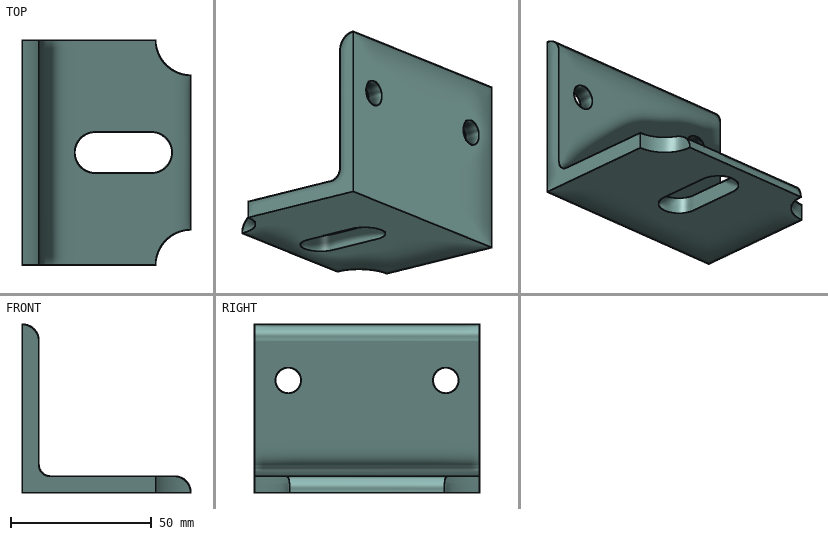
import cadquery as cq

leg = 60.0
thickness = 6.0
length = 80.0
toe_radius = thickness
root_radius = 4.0

hole_diameter = 9.0
hole_spacing = 56.0
hole_height = 40.0

slot_length = 34.5
slot_width = 14.5
slot_center_x = 36.0

notch_radius = 12.5


def angle_bar():
    """L-shaped bar with rounded toes, centred on Y."""
    profile = (
        cq.Workplane("XZ")
        .lineTo(leg, 0)
        .radiusArc((leg - toe_radius, thickness), -toe_radius)
        .lineTo(thickness, thickness)
        .lineTo(thickness, leg - toe_radius)
        .radiusArc((0, leg), -toe_radius)
        .close()
    )
    bar = profile.extrude(length / 2, both=True)
    root_edge = cq.selectors.NearestToPointSelector((thickness, 0, thickness))
    return bar.edges(root_edge).fillet(root_radius)


def upright_holes():
    """Pair of round holes through the upright leg along X."""
    return (
        cq.Workplane("YZ")
        .pushPoints([(side * hole_spacing / 2, hole_height) for side in (-1, 1)])
        .circle(hole_diameter / 2)
        .extrude(thickness)
    )


def base_slot():
    """Slot through the base leg, running along X."""
    return (
        cq.Workplane("XY")
        .center(slot_center_x, 0)
        .slot2D(slot_length, slot_width)
        .extrude(thickness)
    )


def corner_notches():
    """Round notches centred on the outer corners of the base leg."""
    return (
        cq.Workplane("XY")
        .pushPoints([(leg, side * length / 2) for side in (-1, 1)])
        .circle(notch_radius)
        .extrude(thickness)
    )


result = angle_bar().cut(upright_holes()).cut(base_slot()).cut(corner_notches())